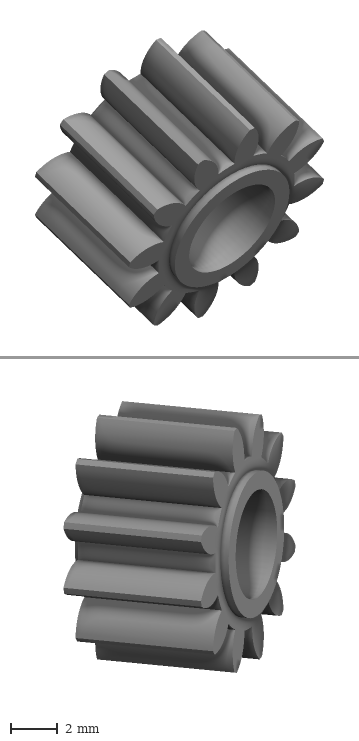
import cadquery as cq
import math

tooth_count = 12
outer_size = 10.8
root_radius = 3.77
gear_width = 6.35
hub_radius = 3.18
overall_width = 7.11
bore_radius = 2.38

root_half_width = 0.54
belly_half_width = 0.63
tip_half_width = 0.14
belly_distance = 4.32

tooth_pitch = 360 / tooth_count
first_tooth_angle = tooth_pitch / 2
first_tooth_radians = math.radians(first_tooth_angle)
tooth_overlap = 0.32

tip_corner_rise = tip_half_width * math.sin(first_tooth_radians)
tip_distance = (outer_size / 2 - tip_corner_rise) / math.cos(first_tooth_radians)
tip_radius = math.hypot(tip_distance, tip_half_width)


def cylinder(radius, length):
    """Cylinder on the X axis, centred on the origin."""
    return cq.Workplane("YZ").circle(radius).extrude(length / 2, both=True)


def make_tooth():
    """Tooth pointing along +Y, with arc flanks and an arc tip."""
    root_distance = math.sqrt(root_radius**2 - root_half_width**2)
    base_distance = root_distance - tooth_overlap
    return (
        cq.Workplane("YZ")
        .moveTo(base_distance, -root_half_width)
        .lineTo(root_distance, -root_half_width)
        .threePointArc((belly_distance, -belly_half_width), (tip_distance, -tip_half_width))
        .threePointArc((tip_radius, 0), (tip_distance, tip_half_width))
        .threePointArc((belly_distance, belly_half_width), (root_distance, root_half_width))
        .lineTo(base_distance, root_half_width)
        .close()
        .extrude(gear_width / 2, both=True)
    )


result = cylinder(root_radius, gear_width).union(cylinder(hub_radius, overall_width))

tooth = make_tooth()
for index in range(tooth_count):
    angle = first_tooth_angle + index * tooth_pitch
    result = result.union(tooth.rotate((0, 0, 0), (1, 0, 0), angle))

result = result.cut(cylinder(bore_radius, overall_width))